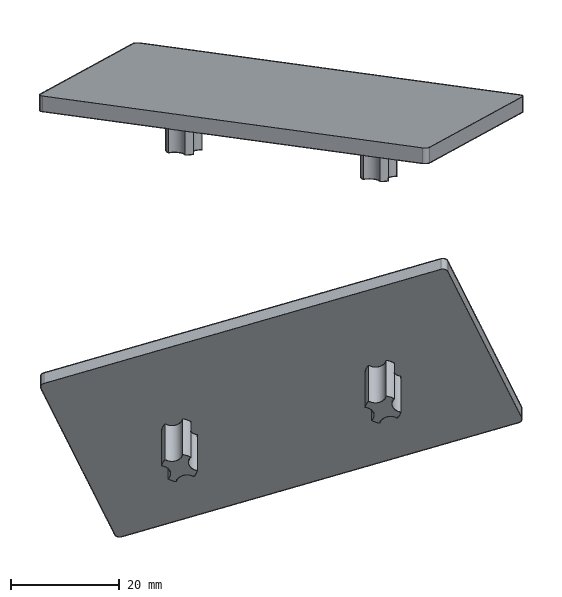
import cadquery as cq

plate_length = 80.0
plate_width = 40.0
plate_thickness = 3.0
corner_radius = 1.0

post_length = 10.0
post_spacing = 40.0
post_radius = 3.35
flute_count = 4
flute_center_distance = 3.9
flute_radius = 2.0


def make_plate():
    """Flat plate with rounded vertical corners, underside at Z = 0."""
    plate = cq.Workplane("XY").rect(plate_length, plate_width).extrude(plate_thickness)
    return plate.edges("|Z").fillet(corner_radius)


def make_post(center_x):
    """Round post hanging below the plate, with concave flutes facing +/-X and +/-Y."""
    underside = cq.Workplane("XY").center(center_x, 0)
    post = underside.circle(post_radius).extrude(-post_length)
    flutes = (
        underside.polarArray(flute_center_distance, 0, 360, flute_count)
        .circle(flute_radius)
        .extrude(-post_length)
    )
    return post.cut(flutes)


result = make_plate()
for side in (-1, 1):
    result = result.union(make_post(side * post_spacing / 2))